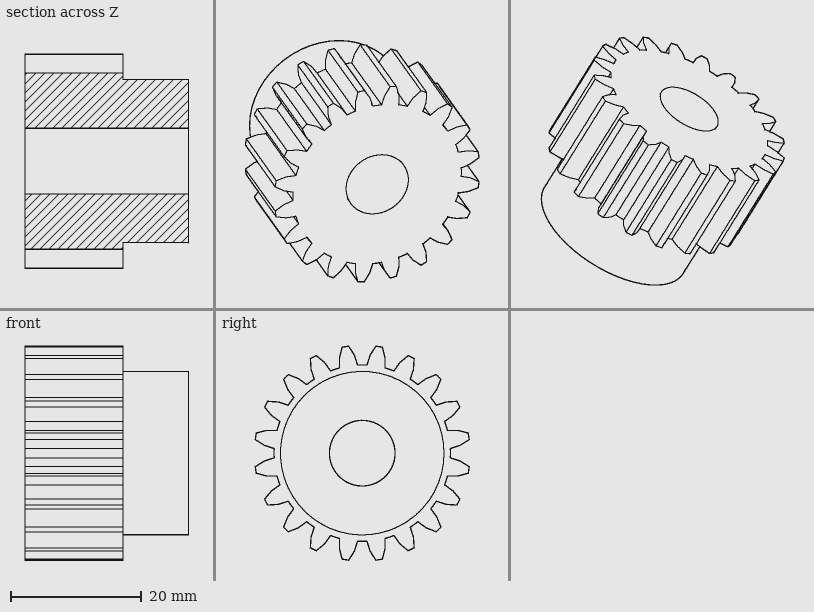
import cadquery as cq
import math


module = 1.5
tooth_count = 20
face_width = 15.0
hub_diameter = 25.0
hub_length = 10.0
bore_diameter = 10.0

pitch_radius = module * tooth_count / 2
tip_radius = pitch_radius + module
root_radius = pitch_radius - module
total_length = face_width + hub_length

tooth_pitch_angle = 360.0 / tooth_count
pitch_half_angle = tooth_pitch_angle / 4
tip_half_angle = 1.8
root_half_angle = 6.0


def polar(radius, angle_degrees):
    """Point at a radius and angle from the gear axis."""
    angle = math.radians(angle_degrees)
    return (radius * math.cos(angle), radius * math.sin(angle))


def gear_outline():
    """Closed tooth outline, starting at the root corner of the first tooth.

    Each flank is two flat facets that meet on the pitch circle. A tooth gap,
    not a tooth, is centred on the Y and Z directions.
    """
    first_tooth_angle = tooth_pitch_angle / 2
    outline = cq.Workplane("YZ").moveTo(*polar(root_radius, first_tooth_angle - root_half_angle))
    for index in range(tooth_count):
        centre = first_tooth_angle + index * tooth_pitch_angle
        gap_centre = centre + tooth_pitch_angle / 2
        next_root = centre + tooth_pitch_angle - root_half_angle
        outline = (
            outline
            .lineTo(*polar(pitch_radius, centre - pitch_half_angle))
            .lineTo(*polar(tip_radius, centre - tip_half_angle))
            .threePointArc(polar(tip_radius, centre), polar(tip_radius, centre + tip_half_angle))
            .lineTo(*polar(pitch_radius, centre + pitch_half_angle))
            .lineTo(*polar(root_radius, centre + root_half_angle))
            .threePointArc(polar(root_radius, gap_centre), polar(root_radius, next_root))
        )
    return outline.close()


def make_hub():
    """Cylindrical hub behind the toothed section."""
    return cq.Workplane("YZ", origin=(face_width, 0, 0)).circle(hub_diameter / 2).extrude(hub_length)


def make_bore():
    """Shaft bore through the whole length."""
    return cq.Workplane("YZ").circle(bore_diameter / 2).extrude(total_length)


teeth = gear_outline().extrude(face_width)
result = teeth.union(make_hub()).cut(make_bore())